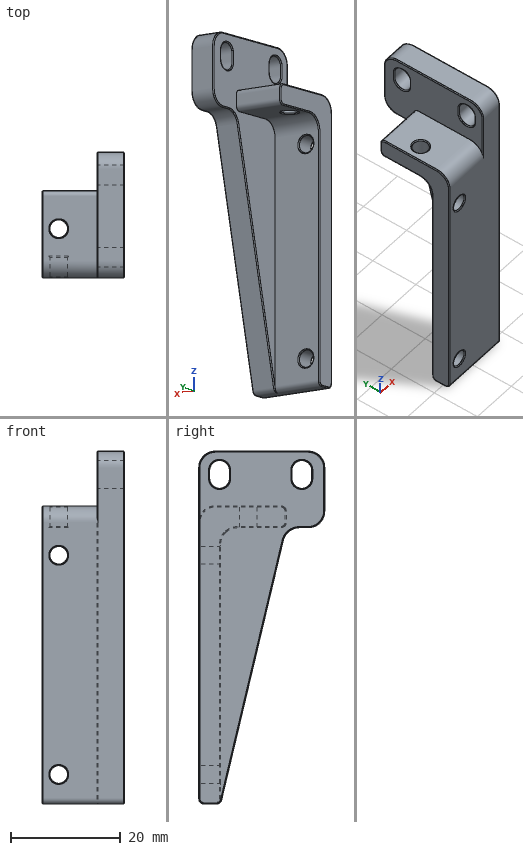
import cadquery as cq

height = 64.45
width = 15.0
depth = 23.0

web_thickness = 5.0
web_head_height = 14.0
corner_radius = 3.0

wall_thickness = 4.0
arm_length = 16.0
arm_drop = 10.0
tip_radius = 1.0

screw_diameter = 3.2
screw_side_offset = 3.0
screw_corner_offset = 9.0
screw_spacing = 40.0
slot_width = 3.6
slot_length = 5.1
slot_front_offset = 3.8
slot_spacing = 15.0
slot_drop = 4.25

edge_break = 0.2
bevel_angle = 45

web_face = width - web_thickness
arm_top = height - arm_drop
head_bottom = height - web_head_height
arm_bottom = arm_top - wall_thickness
screw_z = arm_top - screw_corner_offset


def edge_at(y, z):
    """Selector for the edge along X that stands closest to the given Y and Z."""
    return cq.selectors.NearestToPointSelector((0, y, z))


def round_edges(body, places, radius):
    """Round the edges along X at the given (Y, Z) places of a body starting at X = 0."""
    for y, z in places:
        body = body.edges("|X").edges(edge_at(y, z)).fillet(radius)
    return body


def make_web():
    """Plate with a rectangular head and a leg tapering down to the wall thickness."""
    outline = [
        (0, 0),
        (0, height),
        (depth, height),
        (depth, head_bottom),
        (arm_length, head_bottom),
        (wall_thickness, 0),
    ]
    web = cq.Workplane("YZ").polyline(outline).close().extrude(web_thickness)
    web = round_edges(web, outline[1:5], corner_radius)
    web = round_edges(web, [outline[0], outline[5]], tip_radius)
    web = web.faces("<X or >X").chamfer(edge_break)
    return web.translate((web_face, 0, 0))


def make_bracket():
    """Wall and arm, reaching into the web so that the two fuse along its face."""
    outline = [
        (0, 0),
        (0, arm_top),
        (arm_length, arm_top),
        (arm_length, arm_bottom),
        (wall_thickness, arm_bottom),
        (wall_thickness, 0),
    ]
    bracket = cq.Workplane("YZ").polyline(outline).close().extrude(web_face + web_thickness / 2)
    bracket = round_edges(bracket, [outline[1], outline[4]], corner_radius)
    bracket = round_edges(bracket, [outline[0], outline[2], outline[3], outline[5]], tip_radius)
    return bracket.faces("<X").chamfer(edge_break)


def screw_hole(start, direction):
    """Cutter for a round hole through the bracket thickness, widened at both mouths."""
    plane = cq.Plane(origin=start, xDir=(1, 0, 0), normal=direction)
    radius = screw_diameter / 2
    mouth_radius = radius + edge_break
    profile = [
        (0, 0),
        (mouth_radius, 0),
        (radius, edge_break),
        (radius, wall_thickness - edge_break),
        (mouth_radius, wall_thickness),
        (0, wall_thickness),
    ]
    cutter = cq.Workplane("XZ").polyline(profile).close().revolve(360, (0, 0), (0, 1))
    return cq.Workplane(obj=cutter.val().moved(cq.Location(plane)))


def slot_cutter(y, z):
    """Cutter for an upright slot through the web, widened at both mouths."""

    def slot_prism(x, growth, thickness, taper=0):
        plane = cq.Workplane("YZ", origin=(x, y, z))
        return plane.slot2D(slot_length + growth, slot_width + growth, 90).extrude(thickness, taper=taper)

    mouth_growth = 2 * edge_break
    cutter = slot_prism(web_face, 0, web_thickness)
    cutter = cutter.union(slot_prism(web_face, mouth_growth, edge_break, taper=bevel_angle))
    return cutter.union(slot_prism(width, mouth_growth, -edge_break, taper=bevel_angle))


result = make_web().union(make_bracket())

for hole_z in (screw_z, screw_z - screw_spacing):
    result = result.cut(screw_hole((screw_side_offset, 0, hole_z), (0, 1, 0)))
result = result.cut(screw_hole((screw_side_offset, screw_corner_offset, arm_top), (0, 0, -1)))

for slot_y in (slot_front_offset, slot_front_offset + slot_spacing):
    result = result.cut(slot_cutter(slot_y, height - slot_drop))